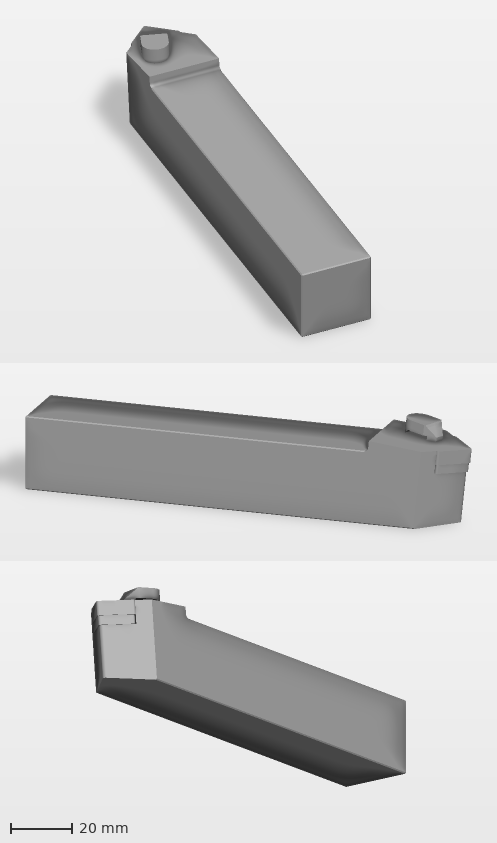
import cadquery as cq
import math

LENGTH = 150.0
WIDTH = 25.0
SHANK_HEIGHT = 25.0
EDGE_CHAMFER = 0.38

RAKE_ANGLE = 6.0
TIP_HEIGHT = 25.4
HEAD_LENGTH = 31.4
STEP_FILLET = 1.2
HEAD_APEX = 0.6
HEAD_NOSE_RADIUS = 1.0

INSERT_SIDE = 12.8
INSERT_THICKNESS = 4.8
NOSE_RADIUS = 0.8
SHIM_INSET = 0.3
SHIM_THICKNESS = 3.2

CLAMP_X = 20.1
CLAMP_Y = -5.1
CLAMP_TURN = 160.0
CLAMP_RADIUS = 4.5
CLAMP_HEIGHT = 5.1
FINGER_REACH = 9.3
SHOULDER_REACH = 5.2
TIP_INNER_EDGE = 2.4
TIP_OUTER_EDGE = -0.9
TIP_FACE_HEIGHT = 1.5
BROW_REACH = 6.3
BROW_HEIGHT = 4.4
TOP_REACH = 5.7
GAP_HEIGHT = 1.5
TOOTH_REACH = 6.5
HEEL_TOP_REACH = -1.2
HEEL_FOOT_REACH = -2.7

rake = math.radians(RAKE_ANGLE)
insert_corner_cut = NOSE_RADIUS * (math.sqrt(2) - 1)
insert_centre = INSERT_SIDE / math.sqrt(2) - insert_corner_cut
pocket_depth = INSERT_THICKNESS + SHIM_THICKNESS
reach_past = 2 * LENGTH

rake_plane = cq.Plane(
    origin=(0, 0, TIP_HEIGHT),
    xDir=(math.cos(rake), 0, math.sin(rake)),
    normal=(-math.sin(rake), 0, math.cos(rake)),
)


def on_rake(offset=0.0):
    """Workplane parallel to the head's top face, offset along its normal."""
    return cq.Workplane(rake_plane).workplane(offset=offset)


def square_plate(side, top, thickness):
    """Square plate around the insert's centre, standing on its diagonal."""
    return (
        on_rake(top - thickness)
        .center(insert_centre, 0)
        .transformed(rotate=(0, 0, 45))
        .rect(side, side)
        .extrude(thickness)
    )


def rounded_plate(side, top, thickness):
    """Square plate with its four corners rounded to the nose radius."""
    upright = cq.selectors.ParallelDirSelector(rake_plane.zDir)
    return square_plate(side, top, thickness).edges(upright).fillet(NOSE_RADIUS)


def make_insert():
    return rounded_plate(INSERT_SIDE, 0, INSERT_THICKNESS)


def make_shank():
    return (
        cq.Workplane("XY")
        .box(LENGTH, WIDTH, SHANK_HEIGHT, centered=(False, True, False))
        .edges("|X or >X")
        .chamfer(EDGE_CHAMFER)
    )


def make_head():
    """Raised block with the tilted top, stepping down to the shank.

    The step wall is square to the tilted top and meets the shank in a fillet.
    """
    root_z = SHANK_HEIGHT / 2
    step_top_x = HEAD_LENGTH * math.cos(rake)
    step_top_z = TIP_HEIGHT + HEAD_LENGTH * math.sin(rake)
    step_foot_x = step_top_x + (step_top_z - SHANK_HEIGHT) * math.tan(rake)

    half_turn = (math.pi / 2 - rake) / 2
    tangent_length = STEP_FILLET * math.tan(half_turn)
    fillet_x = step_foot_x + tangent_length
    fillet_start = (
        step_foot_x - tangent_length * math.sin(rake),
        SHANK_HEIGHT + tangent_length * math.cos(rake),
    )
    fillet_middle = (
        fillet_x - STEP_FILLET * math.sin(half_turn),
        SHANK_HEIGHT + STEP_FILLET * (1 - math.cos(half_turn)),
    )
    return (
        cq.Workplane("XZ")
        .moveTo(0, root_z)
        .lineTo(0, TIP_HEIGHT)
        .lineTo(step_top_x, step_top_z)
        .lineTo(*fillet_start)
        .threePointArc(fillet_middle, (fillet_x, SHANK_HEIGHT))
        .lineTo(fillet_x, root_z)
        .close()
        .extrude(WIDTH / 2, both=True)
    )


def make_point_envelope():
    """Prism whose 90-degree front, square to the tilted top, points the head."""
    half_width = WIDTH / 2
    shoulder = HEAD_APEX + half_width
    apex_point = rake_plane.toWorldCoords((HEAD_APEX, 0, 0))
    nose = cq.selectors.NearestToPointSelector(apex_point.toTuple())
    return (
        on_rake()
        .polyline([
            (HEAD_APEX, 0),
            (shoulder, -half_width),
            (reach_past, -half_width),
            (reach_past, half_width),
            (shoulder, half_width),
        ])
        .close()
        .extrude(reach_past / 2, both=True)
        .edges(nose)
        .fillet(HEAD_NOSE_RADIUS)
    )


def make_clamp():
    """Finger outline seen from above, cut to the shape of its side profile."""
    outline = (
        on_rake()
        .center(CLAMP_X, CLAMP_Y)
        .transformed(rotate=(0, 0, CLAMP_TURN))
        .moveTo(0, -CLAMP_RADIUS)
        .threePointArc((-CLAMP_RADIUS, 0), (0, CLAMP_RADIUS))
        .lineTo(SHOULDER_REACH, CLAMP_RADIUS)
        .lineTo(FINGER_REACH, -TIP_OUTER_EDGE)
        .lineTo(FINGER_REACH, -TIP_INNER_EDGE)
        .lineTo(SHOULDER_REACH, -CLAMP_RADIUS)
        .close()
        .extrude(CLAMP_HEIGHT)
    )
    side_profile = (
        on_rake()
        .center(CLAMP_X, CLAMP_Y)
        .transformed(rotate=(0, 0, CLAMP_TURN))
        .transformed(rotate=(90, 0, 0))
        .polyline([
            (-CLAMP_RADIUS, 0),
            (HEEL_FOOT_REACH, 0),
            (HEEL_TOP_REACH, GAP_HEIGHT),
            (TOOTH_REACH, GAP_HEIGHT),
            (TOOTH_REACH, 0),
            (FINGER_REACH, 0),
            (FINGER_REACH, TIP_FACE_HEIGHT),
            (BROW_REACH, BROW_HEIGHT),
            (TOP_REACH, CLAMP_HEIGHT),
            (-CLAMP_RADIUS, CLAMP_HEIGHT),
        ])
        .close()
        .extrude(CLAMP_RADIUS, both=True)
    )
    return outline.intersect(side_profile)


def make_holder():
    """Shank and pointed head with the insert pocket, carrying shim and clamp."""
    pocket = square_plate(INSERT_SIDE, 0, pocket_depth)
    shim_side = INSERT_SIDE - 2 * SHIM_INSET
    shim = rounded_plate(shim_side, -INSERT_THICKNESS, SHIM_THICKNESS)
    return (
        make_shank()
        .union(make_head())
        .intersect(make_point_envelope())
        .cut(pocket)
        .union(shim)
        .union(make_clamp())
    )


insert = make_insert()
holder = make_holder()

result = cq.Compound.makeCompound([holder.val(), insert.val()])